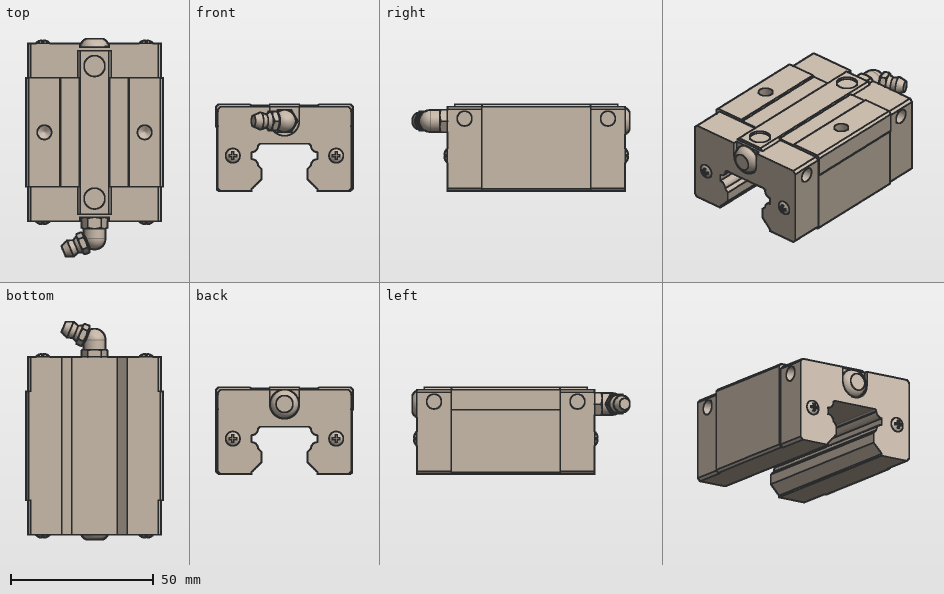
import cadquery as cq
import math

height = 30.5

block_width = 48.0
block_length = 38.15
block_chamfer = 0.9
side_relief = 0.2
side_relief_height = 22.6
pad_inner_x = 11.75
center_pad_half_width = 4.95
top_groove_depth = 0.45

cap_width = 46.7
cap_height = 29.6
cap_thickness = 9.55
cap_chamfer = 1.0
plate_thickness = 2.5
cap_end_y = block_length / 2 + cap_thickness
plate_end_y = cap_end_y + plate_thickness

opening_top_z = 16.55
opening_corner_radius = 0.9
ball_center_z = 12.45
opening_half_width = 11.5
opening_flat_height = 2.4
bulge_radius = 2.3
lip_half_width = 8.0
lip_bottom_z = 4.2
entry_flare_z = 0.7

mount_hole_x = 17.55
mount_hole_radius = 2.5
mount_hole_depth = 7.6
drill_point_angle = 118.0
seat_y = 23.2
seat_radius = 3.7
seat_depth = 0.85
side_port_y = 25.1
side_port_z = 25.4
side_port_radius = 2.6
side_port_depth = 4.6

lube_z = 24.6
notch_radius = 5.2
notch_depth = 1.4
notch_floor_y = plate_end_y - notch_depth

plug_radius = 5.0
plug_rim = 0.45
plug_shoulder_radius = 4.7
plug_tip_radius = 3.0
plug_tip_y = 32.8

screw_x = 18.1
screw_radius = 2.5
screw_head_height = 1.15
cross_length = 2.7
cross_width = 0.6
cross_depth = 0.6

total_length = 76.3
nipple_end_y = plug_tip_y - total_length
elbow_radius = 3.9
elbow_center_y = -37.2
elbow_hex_flats = 8.0
elbow_hex_end_y = -33.7
hex_corner_angle = 30.0
nipple_angle = 22.5
nipple_hex_flats = 6.7
nipple_hex_start = 3.2
nipple_hex_end = 5.6
neck_position = 7.1
neck_radius = 2.4
flare_radius = 3.2
head_position = 9.15
head_radius = 3.05
tip_radius = 2.0


def bar(section, start_y, end_y):
    """Extrude a closed X-Z section from start_y to end_y."""
    return section.extrude(start_y - end_y).translate((0, start_y, 0))


def placed(body, origin, axis, x_dir=(1, 0, 0)):
    """Move a body built along +Z so that its axis starts at origin and points along axis."""
    plane = cq.Plane(origin=origin, xDir=x_dir, normal=axis)
    return cq.Workplane(body.val().moved(cq.Location(plane)))


def turned(profile):
    """Revolve a closed radius-height profile about the Z axis."""
    return profile.close().revolve(360, (0, 0, 0), (0, 1, 0)).rotate((0, 0, 0), (1, 0, 0), 90)


def chamfered_rectangle(width, top, chamfer):
    """X-Z outline with all four corners cut at 45 degrees."""
    half = width / 2
    right = [
        (half - chamfer, 0),
        (half, chamfer),
        (half, top - chamfer),
        (half - chamfer, top),
    ]
    left = [(-x, z) for x, z in reversed(right)]
    return cq.Workplane("XZ").polyline(right + left).close()


def trapezoid(top_half_width, bottom_half_width, bottom):
    """X-Z outline between the given bottom and the top of the carriage."""
    return (
        cq.Workplane("XZ")
        .moveTo(-top_half_width, height)
        .lineTo(top_half_width, height)
        .lineTo(bottom_half_width, bottom)
        .lineTo(-bottom_half_width, bottom)
        .close()
    )


def center_pad(bottom, start_y, end_y):
    """Raised strip along the middle of the top, with 45 degree flanks."""
    flank = height - bottom
    section = trapezoid(center_pad_half_width, center_pad_half_width + flank, bottom)
    return bar(section, start_y, end_y)


def steel_block():
    """Central block with two outer pads, a middle pad and a relieved -X side."""
    start_y, end_y = -block_length / 2, block_length / 2
    block = bar(chamfered_rectangle(block_width, height, block_chamfer), start_y, end_y)
    floor = height - top_groove_depth
    groove = bar(trapezoid(pad_inner_x + top_groove_depth, pad_inner_x, floor), start_y, end_y)
    block = block.cut(groove).union(center_pad(floor, start_y, end_y))
    relief = cq.Workplane("XY").box(
        side_relief, block_length, side_relief_height, centered=(False, True, False)
    )
    return block.cut(relief.translate((-block_width / 2, 0, 0)))


def rail_opening():
    """Space for the rail, with rounded bulges above and below the ball tracks."""
    bulge_x = opening_half_width - bulge_radius
    flat_top = ball_center_z + opening_flat_height / 2
    flat_bottom = ball_center_z - opening_flat_height / 2
    bulge_top = flat_top + bulge_radius
    bulge_bottom = flat_bottom - bulge_radius
    diagonal = bulge_radius * math.sqrt(0.5)
    bulge_mid_x = opening_half_width - diagonal
    lip_slope = bulge_x - lip_half_width
    half = (
        cq.Workplane("XZ")
        .moveTo(0, opening_top_z)
        .lineTo(bulge_x - opening_corner_radius, opening_top_z)
        .radiusArc((bulge_x, opening_top_z - opening_corner_radius), opening_corner_radius)
        .lineTo(bulge_x, bulge_top)
        .threePointArc((bulge_mid_x, bulge_top - diagonal), (opening_half_width, flat_top))
        .lineTo(opening_half_width, flat_bottom)
        .threePointArc((bulge_mid_x, bulge_bottom + diagonal), (bulge_x, bulge_bottom))
        .lineTo(lip_half_width, bulge_bottom - lip_slope)
        .lineTo(lip_half_width, lip_bottom_z)
        .lineTo(opening_half_width, entry_flare_z)
        .lineTo(opening_half_width, 0)
        .lineTo(0, 0)
        .close()
    )
    right = bar(half, -plate_end_y, plate_end_y)
    return right.union(right.mirror("YZ"))


def lube_notch():
    """Round-bottomed notch, open at the top, cut into the outer face of the +Y seal plate."""
    section = (
        cq.Workplane("XZ")
        .moveTo(-notch_radius, height)
        .lineTo(notch_radius, height)
        .lineTo(notch_radius, lube_z)
        .threePointArc((0, lube_z - notch_radius), (-notch_radius, lube_z))
        .close()
    )
    return bar(section, notch_floor_y, plate_end_y)


def mount_hole():
    """Blind hole with a drill point, opening upward at the origin."""
    point_depth = mount_hole_radius / math.tan(math.radians(drill_point_angle / 2))
    profile = (
        cq.Workplane("XY")
        .lineTo(mount_hole_radius, 0)
        .lineTo(mount_hole_radius, -mount_hole_depth)
        .lineTo(0, -mount_hole_depth - point_depth)
    )
    return turned(profile)


def plate_screw():
    """Domed screw head on the XY plane with a cross recess."""
    sphere_radius = (screw_radius**2 + screw_head_height**2) / (2 * screw_head_height)
    sphere = cq.Workplane("XY").sphere(sphere_radius)
    sphere = sphere.translate((0, 0, screw_head_height - sphere_radius))
    head = cq.Workplane("XY").circle(screw_radius).extrude(screw_head_height).intersect(sphere)
    recess = (
        cq.Workplane("XY")
        .workplane(offset=screw_head_height - cross_depth)
        .rect(cross_length, cross_width)
        .extrude(cross_depth)
    )
    return head.cut(recess).cut(recess.rotate((0, 0, 0), (0, 0, 1), 90))


def plug():
    """Domed plug standing on the XY plane."""
    profile = (
        cq.Workplane("XY")
        .lineTo(plug_radius, 0)
        .lineTo(plug_radius, plug_rim)
        .threePointArc(
            (plug_shoulder_radius, notch_depth), (plug_tip_radius, plug_tip_y - notch_floor_y)
        )
        .lineTo(0, plug_tip_y - notch_floor_y)
    )
    return turned(profile)


def hexagon(flats, start, end):
    """Hexagonal prism along Z with the corners turned down at both ends."""
    inner = flats / 2
    corner = inner / math.cos(math.pi / 6)
    step = (corner - inner) * math.tan(math.radians(hex_corner_angle))
    envelope = (
        cq.Workplane("XY")
        .moveTo(0, start)
        .lineTo(inner, start)
        .lineTo(corner, start + step)
        .lineTo(corner, end - step)
        .lineTo(inner, end)
        .lineTo(0, end)
    )
    prism = cq.Workplane("XY").workplane(offset=start).polygon(6, 2 * corner).extrude(end - start)
    return prism.intersect(turned(envelope))


def elbow():
    """Hexagonal foot, round stem and ball end, built along Z from the notch floor."""
    foot = hexagon(elbow_hex_flats, 0, -notch_floor_y - elbow_hex_end_y)
    ball_height = -notch_floor_y - elbow_center_y
    stem = cq.Workplane("XY").circle(elbow_radius).extrude(ball_height)
    ball = cq.Workplane("XY").sphere(elbow_radius).translate((0, 0, ball_height))
    return foot.union(stem).union(ball)


def nipple():
    """Hexagonal collar and grooved head, built along Z from the elbow ball centre."""
    angle = math.radians(nipple_angle)
    reach = elbow_center_y - nipple_end_y
    tip_position = (reach - tip_radius * math.cos(angle)) / math.sin(angle)
    profile = (
        cq.Workplane("XY")
        .lineTo(neck_radius, 0)
        .lineTo(flare_radius, nipple_hex_end)
        .lineTo(neck_radius, neck_position)
        .lineTo(head_radius, head_position)
        .lineTo(tip_radius, tip_position)
        .lineTo(0, tip_position)
    )
    return turned(profile).union(hexagon(nipple_hex_flats, nipple_hex_start, nipple_hex_end))


carriage = steel_block()
end_body = bar(chamfered_rectangle(cap_width, cap_height, cap_chamfer), block_length / 2, plate_end_y)
end_body = end_body.union(center_pad(cap_height, block_length / 2, cap_end_y)).cut(lube_notch())
carriage = carriage.union(end_body).union(end_body.mirror("XZ")).cut(rail_opening())

for side in (-1, 1):
    carriage = carriage.cut(mount_hole().translate((side * mount_hole_x, 0, height)))
    seat = cq.Workplane("XY").circle(seat_radius).extrude(-seat_depth)
    carriage = carriage.cut(seat.translate((0, side * seat_y, height)))
    port = cq.Workplane("XY").circle(side_port_radius).extrude(side_port_depth)
    for end in (-1, 1):
        opening = (side * cap_width / 2, end * side_port_y, side_port_z)
        carriage = carriage.cut(placed(port, opening, (-side, 0, 0), (0, 1, 0)))

for end in (-1, 1):
    for side in (-1, 1):
        seat_point = (side * screw_x, end * plate_end_y, ball_center_z)
        carriage = carriage.union(placed(plate_screw(), seat_point, (0, end, 0)))

carriage = carriage.union(placed(plug(), (0, notch_floor_y, lube_z), (0, 1, 0)))
carriage = carriage.union(placed(elbow(), (0, -notch_floor_y, lube_z), (0, -1, 0)))
nipple_axis = (-math.cos(math.radians(nipple_angle)), -math.sin(math.radians(nipple_angle)), 0)
nipple_across = (nipple_axis[1], -nipple_axis[0], 0)
result = carriage.union(placed(nipple(), (0, elbow_center_y, lube_z), nipple_axis, nipple_across))